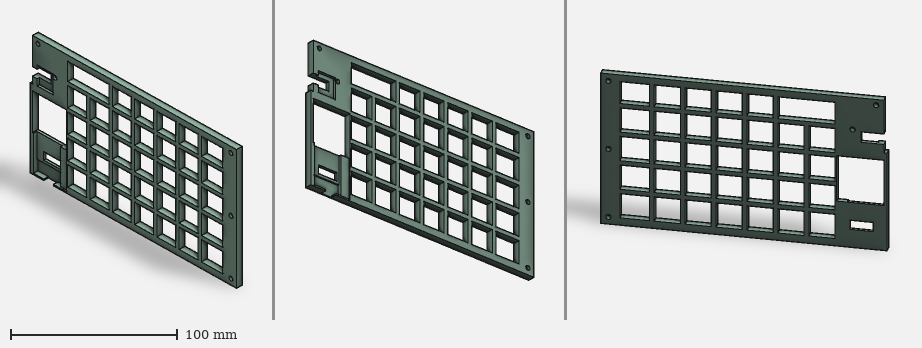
import cadquery as cq

length = 176.0
thickness = 5.0
height = 100.0

step_depth = 2.0
step_z = 65.0

key_pitch = 19.0
key_size = 16.0
key_columns = 7
key_rows = 5
grid_x = 32.0
grid_z = 5.0
last_column_width = 18.1
top_row_height = 14.5

hole_diameter = 3.2
right_hole_x = 171.2
hole_places = [
    (6.7, 96.1),
    (21.1, 78.5),
    (right_hole_x, 95.2),
    (right_hole_x, 50.0),
    (right_hole_x, 4.8),
]

notch_right = 16.0
notch_bottom = 70.5
notch_top = 77.5
notch_pocket_left = 6.0
notch_pocket_right = 19.5
notch_pocket_bottom = 65.5
notch_pocket_top = 80.5
notch_pocket_depth = 2.0

window_left = step_depth
window_right = 31.0
window_bottom = 30.0
window_top = 60.0

pocket_left = 2.8
pocket_bottom = 1.0
shelf_left = 24.6
shelf_depth = 1.2
floor_depth = 2.8
deep_top = 10.0
deep_depth = 3.9

slot_left = 8.6
slot_right = 22.9
slot_bottom = 12.0
slot_top = 18.0

gap_left = 11.6
gap_right = 19.7


def block(left, right, bottom, top, depth=thickness):
    """Box spanning the given X and Z limits, reaching from the front face to the given depth."""
    size = (right - left, depth, top - bottom)
    return cq.Workplane("XY").box(*size, centered=False).translate((left, 0, bottom))


def key_openings():
    openings = cq.Workplane("XZ")
    for row in range(key_rows):
        bottom = grid_z + row * key_pitch
        is_top_row = row == key_rows - 1
        top = bottom + (top_row_height if is_top_row else key_size)
        for column in range(key_columns):
            left = grid_x + column * key_pitch
            right = left + (last_column_width if column == key_columns - 1 else key_size)
            if is_top_row and column == 0:
                right += key_pitch
            openings = openings.add(block(left, right, bottom, top))
    return openings.combine()


def screw_holes():
    return cq.Workplane("XZ").pushPoints(hole_places).circle(hole_diameter / 2).extrude(-thickness)


def side_notch():
    through = block(0, notch_right, notch_bottom, notch_top)
    pocket = block(
        notch_pocket_left, notch_pocket_right, notch_pocket_bottom, notch_pocket_top, notch_pocket_depth
    )
    return through.union(pocket)


def stepped_pocket():
    shelf = block(shelf_left, window_right, pocket_bottom, window_bottom, shelf_depth)
    floor = block(pocket_left, shelf_left, pocket_bottom, window_bottom, floor_depth)
    deep_floor = block(pocket_left, shelf_left, pocket_bottom, deep_top, deep_depth)
    slot = block(slot_left, slot_right, slot_bottom, slot_top)
    gap = block(gap_left, gap_right, 0, pocket_bottom, deep_depth)
    return shelf.union(floor).union(deep_floor).union(slot).union(gap)


plate = block(0, length, 0, height)
edge_step = block(0, step_depth, step_z, height)
window = block(window_left, window_right, window_bottom, window_top)

result = plate.cut(edge_step).cut(window)
result = result.cut(key_openings())
result = result.cut(screw_holes())
result = result.cut(side_notch())
result = result.cut(stepped_pocket())